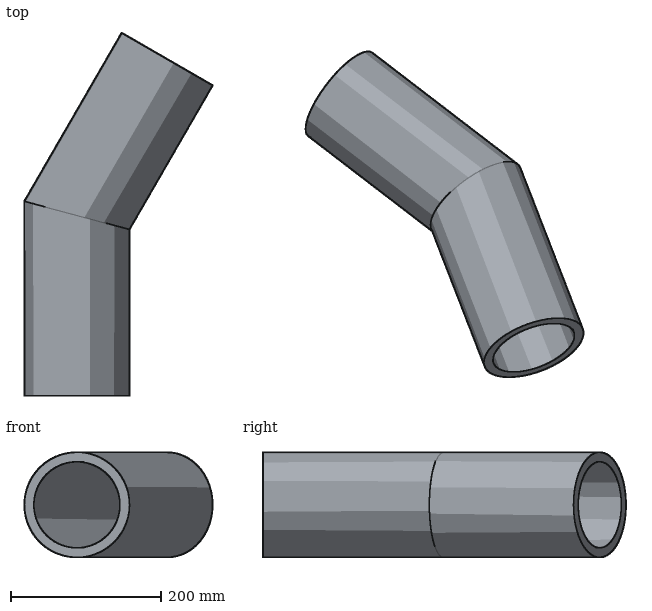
import cadquery as cq
import math

overall_length = 483.0
outer_diameter = 140.0
bore_diameter = 114.5
bend_angle = math.radians(30.0)

outer_radius = outer_diameter / 2

rim_reach = outer_radius * math.sin(bend_angle)
leg_length = (overall_length - rim_reach) / (1 + math.cos(bend_angle))

mitre_rise = outer_radius * math.tan(bend_angle / 2)


def mitred_leg():
    """Pipe along +Y from the origin, cut off by the sloping mitre plane."""
    pipe = (
        cq.Workplane("XZ")
        .circle(outer_radius)
        .circle(bore_diameter / 2)
        .extrude(-(leg_length + mitre_rise))
    )
    kept_side = (
        cq.Workplane("XY")
        .polyline([
            (-outer_radius, 0),
            (outer_radius, 0),
            (outer_radius, leg_length - mitre_rise),
            (-outer_radius, leg_length + mitre_rise),
        ])
        .close()
        .extrude(outer_radius, both=True)
    )
    return pipe.intersect(kept_side)


near_leg = mitred_leg()
mitre_normal = cq.Vector(math.sin(bend_angle / 2), math.cos(bend_angle / 2), 0)
mitre_point = (0, leg_length, 0)
far_leg = near_leg.mirror(mitre_normal, mitre_point)

result = near_leg.union(far_leg)